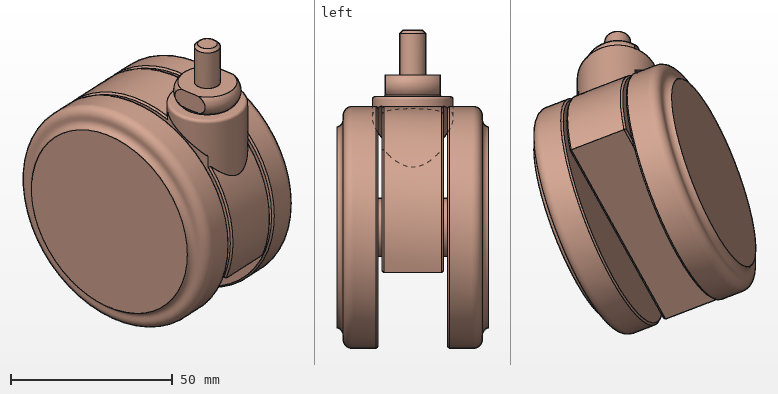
import cadquery as cq
import math


wheel_radius = 37.48
wheel_inner_y = 10.7
tread_width = 10.8
tread_fillet = 3.0
tread_edge_chamfer = 0.6
cap_height = 1.92
cap_foot_radius = 33.4
cap_foot_fillet = 2.4
hub_radius = 9.1

housing_half_width = 9.6
housing_radius = wheel_radius
housing_floor_z = -14.0
housing_edge_chamfer = 0.6
wheel_clearance_radius = 39.4

post_x = 20.0
post_radius = 12.5
post_top_z = 40.5
post_edge_fillet = 1.0

neck_radius = 8.7
neck_height = 0.5
collar_height = 6.2
collar_end_radius = 9.2
collar_bulge = 1.3
collar_across_flats = 17.0
stud_radius = 4.0
stud_chamfer = 1.0
overall_height = 98.5
stem_top_z = overall_height - wheel_radius


def axle_disc(radius, half_width):
    """Disc centred on the axle and symmetric about the XZ plane."""
    return cq.Workplane("XZ").circle(radius).extrude(half_width, both=True)


def make_wheel(side):
    """Wheel with its hub; side is +1 for the +Y wheel and -1 for the -Y wheel."""
    tread_outer_y = wheel_inner_y + tread_width
    cap_y = tread_outer_y + cap_height
    fillet_sag = tread_fillet * (1 - math.sqrt(0.5))

    foot_angle = math.acos(1 - cap_height / cap_foot_fillet)
    cap_radius = cap_foot_radius - cap_foot_fillet * math.sin(foot_angle)
    foot_mid_radius = cap_foot_radius - cap_foot_fillet * math.sin(foot_angle / 2)
    foot_mid_y = tread_outer_y + cap_foot_fillet * (1 - math.cos(foot_angle / 2))

    section = (
        cq.Workplane("XY")
        .moveTo(0, side * housing_half_width)
        .lineTo(hub_radius, side * housing_half_width)
        .lineTo(hub_radius, side * wheel_inner_y)
        .lineTo(wheel_radius - tread_edge_chamfer, side * wheel_inner_y)
        .lineTo(wheel_radius, side * (wheel_inner_y + tread_edge_chamfer))
        .lineTo(wheel_radius, side * (tread_outer_y - tread_fillet))
        .threePointArc(
            (wheel_radius - fillet_sag, side * (tread_outer_y - fillet_sag)),
            (wheel_radius - tread_fillet, side * tread_outer_y),
        )
        .lineTo(cap_foot_radius, side * tread_outer_y)
        .threePointArc(
            (foot_mid_radius, side * foot_mid_y),
            (cap_radius, side * cap_y),
        )
        .lineTo(0, side * cap_y)
        .close()
    )
    return section.revolve(360, (0, 0, 0), (0, 1, 0))


def make_housing():
    """Disc cut off flat below the axle, merged with the upright swivel post."""
    body_height = housing_radius - housing_floor_z
    body_zone = (
        cq.Workplane("XY")
        .workplane(offset=housing_floor_z)
        .rect(2 * housing_radius, 2 * housing_half_width)
        .extrude(body_height)
    )
    body = axle_disc(housing_radius, housing_half_width).intersect(body_zone)
    body = body.faces("<Y or >Y").chamfer(housing_edge_chamfer)

    post = (
        cq.Workplane("XY")
        .center(post_x, 0)
        .circle(post_radius)
        .extrude(post_top_z)
        .faces(">Z")
        .edges()
        .fillet(post_edge_fillet)
    )
    wheel_space = axle_disc(wheel_clearance_radius, post_radius).cut(
        axle_disc(wheel_clearance_radius, housing_half_width)
    )
    return body.union(post.cut(wheel_space))


def make_stem():
    """Neck, bulged collar with two wrench flats, and chamfered stud."""
    collar_bottom_z = post_top_z + neck_height
    collar_top_z = collar_bottom_z + collar_height
    collar_middle_z = collar_bottom_z + collar_height / 2
    collar_radius = collar_end_radius + collar_bulge

    collar = (
        cq.Workplane("XZ")
        .moveTo(0, collar_bottom_z)
        .lineTo(collar_end_radius, collar_bottom_z)
        .threePointArc((collar_radius, collar_middle_z), (collar_end_radius, collar_top_z))
        .lineTo(0, collar_top_z)
        .close()
        .revolve(360, (0, 0, 0), (0, 1, 0))
    )
    flats = (
        cq.Workplane("XY")
        .workplane(offset=collar_bottom_z)
        .rect(2 * collar_radius, collar_across_flats)
        .extrude(collar_height)
    )
    collar = collar.intersect(flats)

    neck = cq.Workplane("XY").workplane(offset=post_top_z).circle(neck_radius).extrude(neck_height)
    stud = (
        cq.Workplane("XY")
        .workplane(offset=collar_top_z)
        .circle(stud_radius)
        .extrude(stem_top_z - collar_top_z)
        .faces(">Z")
        .chamfer(stud_chamfer)
    )
    return neck.union(collar).union(stud).translate((post_x, 0, 0))


wheels = [make_wheel(side) for side in (-1, 1)]
housing = make_housing()
stem = make_stem()

result = cq.Compound.makeCompound(
    [housing.val(), stem.val(), *[wheel.val() for wheel in wheels]]
)